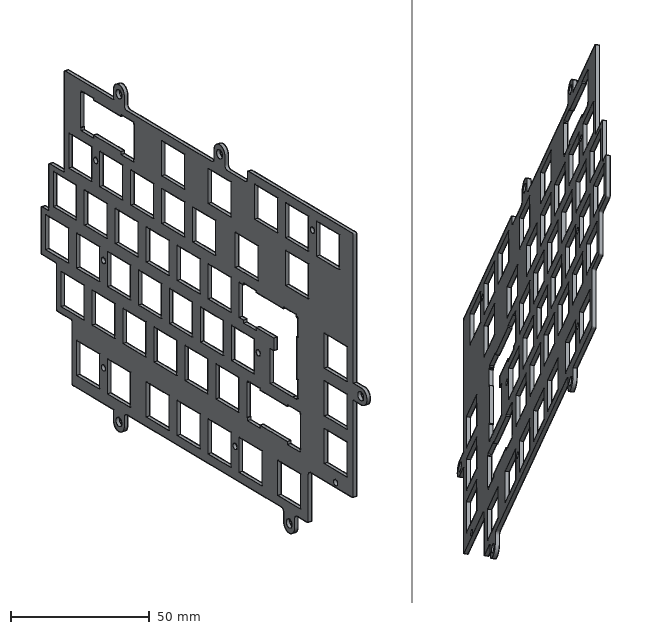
import cadquery as cq
import math

U = 19.05
THICKNESS = 1.6
SWITCH_SIZE = 14.0

TOTAL_LENGTH = 200.55
TOTAL_HEIGHT = 138.61
LEFT_MARGIN = 0.275
ROW_STEP_DROP = 0.25
TOP_LEFT_Z = 69.05
TOP_MIDDLE_Z = 67.85
TOP_RIGHT_Z = 72.65
TOP_STEP_X = 126.7
RIGHT_X = 191.85
RIGHT_BOTTOM_Z = -32.95
BOTTOM_RIGHT_X = 164.15
BOTTOM_LEFT_Z = -54.75
BOTTOM_Z = -53.65
CORNER_RADIUS = 0.6

TAB_HALF_WIDTH = 3.4
TAB_HOLE_TO_TIP = 3.85
TAB_OVERLAP = 1.0
TAB_HOLE_DIAMETER = 3.5
INNER_CORNER_RADIUS = 1.5
TAB_TOP_Z = 76.37
TAB_BOTTOM_Z = TAB_TOP_Z - TOTAL_HEIGHT
TOP_TAB_COLUMNS = (2.5, 5.75)
BOTTOM_TAB_COLUMNS = (2.5, 8.0)
SIDE_TAB_ROW = 0.5

SCREW_DIAMETER = 2.4
SCREW_OFFSET = 2.4

STAB_INNER = 8.5
STAB_OUTER = 16.1
STAB_TOP = 7.7
STAB_BOTTOM = 8.2
STAB_SLOT_HALF = 16.5

SWITCH_ROWS = (
    (3.25, (7.25, 8.25, 9.25)),
    (3.0, (4.25, 5.75)),
    (2.25, (8.25,)),
    (2.0, (1.25, 2.25, 3.25, 4.25, 5.25, 6.625)),
    (1.0, (0.75, 1.75, 2.75, 3.75, 4.75, 5.75, 9.5)),
    (0.0, (0.5, 1.5, 2.5, 3.5, 4.5, 5.5, 6.5, 9.5)),
    (-1.0, (1.0, 2.0, 3.0, 4.0, 5.0, 6.0, 9.5)),
    (-2.25, (1.5, 2.5, 3.75, 4.75, 5.75, 6.75, 8.0)),
)
WIDE_KEYS = ((2.125, 3.0), (7.5, -1.0))

ENTER_SWITCHES = ((6.75, 1.0), (7.75, 0.0))
ENTER_FLAT_STAB = (7.375, 1.0)
ENTER_UPRIGHT_STAB = (7.875, 0.5)

SCREWS = ((8.75, 3.25), (1.75, 2.0), (2.0, 0.0), (7.0, 0.0), (2.0, -2.25), (6.25, -2.25))
LOWER_RIGHT_SCREW = (9.5, -1.5)


def box(x0, x1, z0, z1):
    """Block through the plate thickness between two opposite corners."""
    return cq.Workplane("XY").box(x1 - x0, THICKNESS, z1 - z0, centered=False).translate((x0, 0, z0))


def disc(x, z, diameter):
    """Cylinder through the plate thickness."""
    return cq.Workplane("XZ").center(x, z).circle(diameter / 2).extrude(-THICKNESS)


def fillet_corners(body, corners, radius):
    """Round the through-thickness edges standing at the given (x, z) corners."""
    tolerance = 0.01
    for x, z in corners:
        near = cq.selectors.BoxSelector(
            (x - tolerance, 0, z - tolerance),
            (x + tolerance, THICKNESS, z + tolerance),
        )
        body = body.edges(near).fillet(radius)
    return body


def plate_outline():
    """Stepped plate without its tabs, following the stagger of the key rows."""
    row_1_x = 0.25 * U - LEFT_MARGIN
    row_2_x = 0.75 * U - LEFT_MARGIN
    row_minus_1_x = 0.5 * U - LEFT_MARGIN
    bottom_row_x = U - LEFT_MARGIN
    step_x = TOP_TAB_COLUMNS[0] * U
    bottom_step_x = BOTTOM_TAB_COLUMNS[0] * U
    above_row_1_z = 1.5 * U - ROW_STEP_DROP
    above_row_0_z = 0.5 * U - ROW_STEP_DROP
    below_row_0_z = -0.5 * U - ROW_STEP_DROP
    below_row_minus_1_z = -1.5 * U - ROW_STEP_DROP
    points = [
        (-LEFT_MARGIN, below_row_0_z),
        (-LEFT_MARGIN, above_row_0_z),
        (row_1_x, above_row_0_z),
        (row_1_x, above_row_1_z),
        (row_2_x, above_row_1_z),
        (row_2_x, TOP_LEFT_Z),
        (step_x, TOP_LEFT_Z),
        (step_x, TOP_MIDDLE_Z),
        (TOP_STEP_X, TOP_MIDDLE_Z),
        (TOP_STEP_X, TOP_RIGHT_Z),
        (RIGHT_X, TOP_RIGHT_Z),
        (RIGHT_X, RIGHT_BOTTOM_Z),
        (BOTTOM_RIGHT_X, RIGHT_BOTTOM_Z),
        (BOTTOM_RIGHT_X, BOTTOM_Z),
        (bottom_step_x, BOTTOM_Z),
        (bottom_step_x, BOTTOM_LEFT_Z),
        (bottom_row_x, BOTTOM_LEFT_Z),
        (bottom_row_x, below_row_minus_1_z),
        (row_minus_1_x, below_row_minus_1_z),
        (row_minus_1_x, below_row_0_z),
    ]
    hidden_steps = (step_x, bottom_step_x)
    rounded = [(x, z) for x, z in points if x not in hidden_steps and (x, z) not in inner_corners()]
    outline = cq.Workplane("XZ").polyline(points).close().extrude(-THICKNESS)
    return fillet_corners(outline, rounded, CORNER_RADIUS)


def tab(hole, root):
    """Tab from a point inside the plate, ending in a half circle just beyond its hole."""
    (x, z), (root_x, root_z) = hole, root
    length = math.hypot(x - root_x, z - root_z)
    tip = length + TAB_HOLE_TO_TIP
    arc_start = tip - TAB_HALF_WIDTH
    upright_tab = (
        cq.Workplane("XZ")
        .moveTo(-TAB_HALF_WIDTH, 0)
        .lineTo(-TAB_HALF_WIDTH, arc_start)
        .threePointArc((0, tip), (TAB_HALF_WIDTH, arc_start))
        .lineTo(TAB_HALF_WIDTH, 0)
        .close()
        .extrude(-THICKNESS)
    )
    angle = math.degrees(math.atan2(x - root_x, z - root_z))
    return upright_tab.rotate((0, 0, 0), (0, 1, 0), angle).translate((root_x, 0, root_z))


def tab_centres():
    """Hole centre and root point of every tab."""
    top_z = TAB_TOP_Z - TAB_HOLE_TO_TIP
    bottom_z = TAB_BOTTOM_Z + TAB_HOLE_TO_TIP
    side_x = TOTAL_LENGTH - LEFT_MARGIN - TAB_HOLE_TO_TIP
    side_z = SIDE_TAB_ROW * U
    top = [((c * U, top_z), (c * U, TOP_MIDDLE_Z - TAB_OVERLAP)) for c in TOP_TAB_COLUMNS]
    bottom = [((c * U, bottom_z), (c * U, BOTTOM_Z + TAB_OVERLAP)) for c in BOTTOM_TAB_COLUMNS]
    side = [((side_x, side_z), (RIGHT_X - TAB_OVERLAP, side_z))]
    return top + bottom + side


def inner_corners():
    """Concave corners at the tab roots and at the two steps near the right-hand side."""
    corners = [(TOP_STEP_X, TOP_MIDDLE_Z), (BOTTOM_RIGHT_X, RIGHT_BOTTOM_Z)]
    for columns, edge_z in ((TOP_TAB_COLUMNS, TOP_MIDDLE_Z), (BOTTOM_TAB_COLUMNS, BOTTOM_Z)):
        left, right = (c * U for c in columns)
        roots = (left + TAB_HALF_WIDTH, right - TAB_HALF_WIDTH, right + TAB_HALF_WIDTH)
        corners += [(x, edge_z) for x in roots]
    return corners


def switch_opening(column, row):
    half = SWITCH_SIZE / 2
    x, z = column * U, row * U
    return box(x - half, x + half, z - half, z + half)


def stabilizer_opening(column, row, angle=0):
    """Long slot with a deeper pocket near each end, turned about its centre."""
    half = SWITCH_SIZE / 2
    opening = box(-STAB_SLOT_HALF, STAB_SLOT_HALF, -half, half)
    for x in (-STAB_OUTER, STAB_INNER):
        opening = opening.union(box(x, x + STAB_OUTER - STAB_INNER, -STAB_BOTTOM, STAB_TOP))
    return opening.rotate((0, 0, 0), (0, 1, 0), angle).translate((column * U, 0, row * U))


def add_tabs(body):
    """Join the tabs, round the concave corners and drill the tab holes."""
    for hole, root in tab_centres():
        body = body.union(tab(hole, root))
    body = fillet_corners(body, inner_corners(), INNER_CORNER_RADIUS)
    for hole, _ in tab_centres():
        body = body.cut(disc(*hole, TAB_HOLE_DIAMETER))
    return body


def cut_keys(body):
    """Cut the single switches, the two wide keys and the enter key."""
    for row, columns in SWITCH_ROWS:
        for column in columns:
            body = body.cut(switch_opening(column, row))
    for column, row in WIDE_KEYS:
        body = body.cut(stabilizer_opening(column, row))
    for column, row in ENTER_SWITCHES:
        body = body.cut(switch_opening(column, row))
    body = body.cut(stabilizer_opening(*ENTER_FLAT_STAB))
    return body.cut(stabilizer_opening(*ENTER_UPRIGHT_STAB, angle=90))


def cut_screw_holes(body):
    for column, row in SCREWS:
        body = body.cut(disc(column * U, row * U + SCREW_OFFSET, SCREW_DIAMETER))
    column, row = LOWER_RIGHT_SCREW
    return body.cut(disc(column * U, row * U - SCREW_OFFSET, SCREW_DIAMETER))


result = cut_screw_holes(cut_keys(add_tabs(plate_outline())))